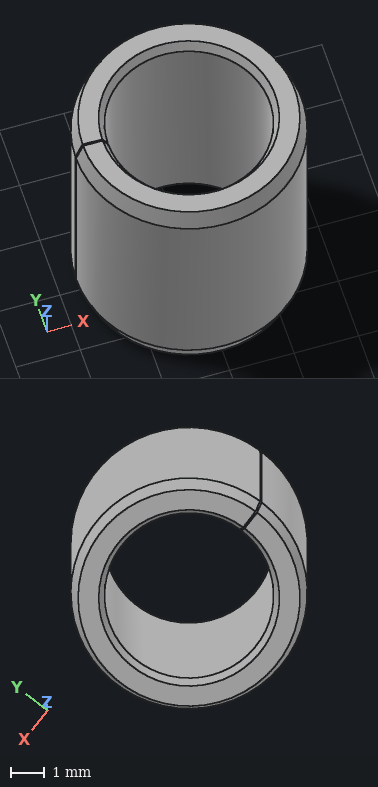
import cadquery as cq
import math

outer_diameter = 7.0
bore_diameter = 5.0
length = 8.0

outer_chamfer_length = 0.6
outer_chamfer_angle = 20.0
bore_chamfer_length = 0.3
bore_chamfer_angle = 30.0

slit_angle = 1.0


def chamfer_depth(chamfer_length, angle):
    """Radial depth of a chamfer of the given axial length."""
    return chamfer_length * math.tan(math.radians(angle))


def make_split_sleeve():
    """Sweep the chamfered wall section about Z, stopping short by the slit angle."""
    outer_radius = outer_diameter / 2
    bore_radius = bore_diameter / 2
    end_outer_radius = outer_radius - chamfer_depth(outer_chamfer_length, outer_chamfer_angle)
    end_bore_radius = bore_radius + chamfer_depth(bore_chamfer_length, bore_chamfer_angle)

    section = [
        (-end_bore_radius, 0),
        (-end_outer_radius, 0),
        (-outer_radius, outer_chamfer_length),
        (-outer_radius, length - outer_chamfer_length),
        (-end_outer_radius, length),
        (-end_bore_radius, length),
        (-bore_radius, length - bore_chamfer_length),
        (-bore_radius, bore_chamfer_length),
    ]
    return cq.Workplane("XZ").polyline(section).close().revolve(360 - slit_angle, (0, 0), (0, 1))


result = make_split_sleeve()